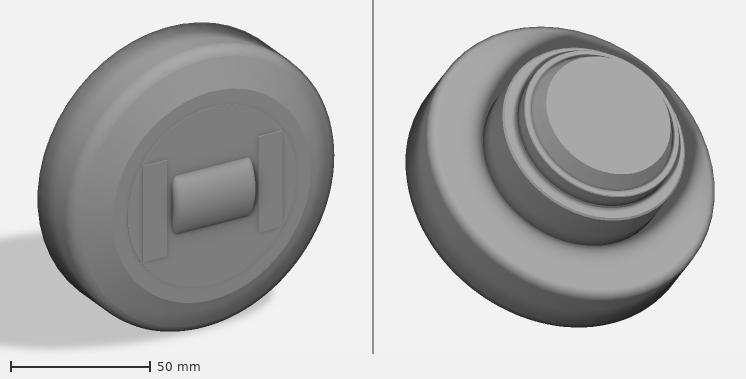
import cadquery as cq

overall_length = 69.0

tip_radius = 24.1
cone_radius = 27.5
cone_end = 6.1
collar_radius = 30.0
collar_chamfer = 0.3
collar_end = 13.6
collar_flare = 0.6
boss_radius = 35.3
boss_chamfer = 0.7
flange_start = 33.9
flange_radius = 55.7
flange_back_fillet = 3.1
flange_front_fillet = 5.0
bevel_start = 59.5
bevel_end = 65.0
bevel_end_radius = 41.4
plate_radius = 35.3
plate_end = 65.2

grip_radius = 20.0
grip_length = 33.9
grip_end_fillet = 2.3

pad_inner_y = 19.2
pad_outer_y = 29.1
pad_height_z = 38.1
pad_thickness = 0.5


def disc(x_start, x_end, radius):
    return cq.Workplane("YZ", origin=(x_start, 0, 0)).circle(radius).extrude(x_end - x_start)


def revolve_profile(points):
    return cq.Workplane("XY").polyline(points).close().revolve(360, (0, 0, 0), (1, 0, 0))


def make_stem():
    tip = revolve_profile([(0, 0), (0, tip_radius), (cone_end, cone_radius), (cone_end, 0)])
    collar = revolve_profile([
        (cone_end, 0),
        (cone_end, collar_radius - collar_chamfer),
        (cone_end + collar_chamfer, collar_radius),
        (collar_end - collar_flare, collar_radius),
        (collar_end, collar_radius + collar_flare),
        (collar_end, 0),
    ])
    boss = disc(collar_end, flange_start, boss_radius).faces("<X or >X").edges().chamfer(boss_chamfer)
    return tip.union(collar).union(boss)


def make_flange():
    flange = revolve_profile([
        (flange_start, 0),
        (flange_start, flange_radius),
        (bevel_start, flange_radius),
        (bevel_end, bevel_end_radius),
        (bevel_end, 0),
    ])
    flange = flange.faces("<X").edges().fillet(flange_back_fillet)
    largest_circles = flange.edges(cq.selectors.RadiusNthSelector(-1))
    flange = largest_circles.edges(">X").fillet(flange_front_fillet)
    return flange.union(disc(bevel_end, plate_end, plate_radius))


def make_grip():
    return (
        cq.Workplane("XZ", origin=(overall_length - grip_radius, 0, 0))
        .circle(grip_radius)
        .extrude(grip_length / 2, both=True)
        .faces("<Y or >Y")
        .edges()
        .fillet(grip_end_fillet)
        .intersect(disc(flange_start, overall_length, flange_radius))
    )


def make_pads():
    pad_width = pad_outer_y - pad_inner_y
    pad_center_y = (pad_outer_y + pad_inner_y) / 2
    return (
        cq.Workplane("YZ", origin=(plate_end, 0, 0))
        .pushPoints([(-pad_center_y, 0), (pad_center_y, 0)])
        .rect(pad_width, pad_height_z)
        .extrude(pad_thickness)
    )


result = make_stem().union(make_flange()).union(make_grip()).union(make_pads())